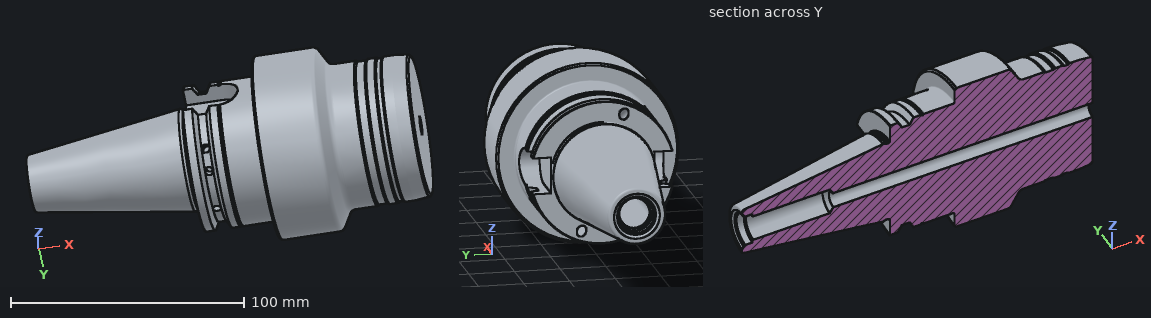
import cadquery as cq
import math


CUT_CLEARANCE = 1.7

LENGTH = 169.8
TAPER_END = 68.3
TAPER_RADIUS = 22.5
TAPER_SLOPE = 7 / 48
NOSE_RADIUS = TAPER_RADIUS - TAPER_SLOPE * TAPER_END
NOSE_FILLET = 1.2
NECK_START = 69.8
NECK_RADIUS = 21.9

FLANGE_FACE = 71.5
BODY_RADIUS = 31.6
NECK_FILLET = 0.7
FLANGE_CHAMFER = 0.2
GRIPPER_CENTER = 79.3
GRIPPER_FLOOR_WIDTH = 3.5
GRIPPER_FLOOR_RADIUS = 28.2
GRIPPER_FLANK_ANGLE = 30

COLLAR_FACE = 103.0
COLLAR_RADIUS = 80.0 / 2
COLLAR_CHAMFER = 0.8
COLLAR_ROOT_FILLET = 0.8
COLLAR_CONE_ANGLE = math.radians(60)
COLLAR_ROUND_START = 128.5
COLLAR_ROUND_RADIUS = 2.4
CONE_ROOT_RADIUS = 3.2

TAIL_START = 163.0
TAIL_RADIUS = 30.9
TAIL_CHAMFER = 0.8

RING_GROOVES = [
    (86.6, 1.2, 0.5, 0.3),
    (146.2, 5.5, 0.5, 0.8),
    (155.2, 3.2, 0.5, 0.7),
]

SLOT_WIDTH = 16.0
SLOT_END = 95.6
SLOT_FLOOR = 22.6

BORE_MOUTH_RADIUS = 10.0
BORE_MOUTH_DEPTH = 0.8
BORE_LEAD_RADIUS = 8.5
BORE_LEAD_END = 1.5
COUNTERBORE_RADIUS = 8.0
COUNTERBORE_DEPTH = 5.1
THREAD_RADIUS = 6.6
THREAD_CHAMFER = 0.3
THREAD_DEPTH = 42.5
BORE_CONE_LENGTH = 1.7
COOLANT_RADIUS = 3.9

FACE_HOLE_DIAMETER = 4.0
GROOVE_HOLE_DIAMETER = 3.5
HOLE_STEP_ANGLE = 20
FACE_HOLE_RADIUS = 27.2
FACE_HOLE_TILT = math.radians(35)
FACE_HOLE_DEPTH = 10.2
FACE_HOLE_ANGLES = (HOLE_STEP_ANGLE, 180 + HOLE_STEP_ANGLE)
PLUG_RECESS = 0.3
RADIAL_HOLE_DEPTH = 6.8
GROOVE_HOLES = [
    (HOLE_STEP_ANGLE, PLUG_RECESS),
    (180 + HOLE_STEP_ANGLE, RADIAL_HOLE_DEPTH),
    (180 - HOLE_STEP_ANGLE, RADIAL_HOLE_DEPTH),
    (180 - 2 * HOLE_STEP_ANGLE, RADIAL_HOLE_DEPTH),
]


def turn(half_profile):
    """Revolve a closed half profile, drawn as (X, radius), about the X axis."""
    return half_profile.close().revolve(360, (0, 0, 0), (1, 0, 0))


def arc_point(center, radius, angle):
    return (center[0] + radius * math.cos(angle), center[1] + radius * math.sin(angle))


def make_body():
    round_center = (COLLAR_ROUND_START, COLLAR_RADIUS - COLLAR_ROUND_RADIUS)
    middle_angle = math.pi / 2 - COLLAR_CONE_ANGLE / 2
    round_middle = arc_point(round_center, COLLAR_ROUND_RADIUS, middle_angle)
    round_end = arc_point(round_center, COLLAR_ROUND_RADIUS, math.pi / 2 - COLLAR_CONE_ANGLE)

    root_start_radius = BODY_RADIUS + CONE_ROOT_RADIUS * (1 - math.cos(COLLAR_CONE_ANGLE))
    cone_length = (round_end[1] - root_start_radius) / math.tan(COLLAR_CONE_ANGLE)
    root_start_x = round_end[0] + cone_length
    root_end_x = root_start_x + CONE_ROOT_RADIUS * math.sin(COLLAR_CONE_ANGLE)
    root_center = (root_end_x, BODY_RADIUS + CONE_ROOT_RADIUS)
    root_middle = arc_point(root_center, CONE_ROOT_RADIUS, -math.pi / 2 - COLLAR_CONE_ANGLE / 2)

    nose_edge_radius = NOSE_RADIUS + TAPER_SLOPE * NOSE_FILLET
    profile = (
        cq.Workplane("XY")
        .moveTo(0, 0)
        .lineTo(0, nose_edge_radius - NOSE_FILLET)
        .radiusArc((NOSE_FILLET, nose_edge_radius), NOSE_FILLET)
        .lineTo(TAPER_END, TAPER_RADIUS)
        .lineTo(NECK_START, NECK_RADIUS)
        .lineTo(FLANGE_FACE - NECK_FILLET, NECK_RADIUS)
        .radiusArc((FLANGE_FACE, NECK_RADIUS + NECK_FILLET), -NECK_FILLET)
        .lineTo(FLANGE_FACE, BODY_RADIUS - FLANGE_CHAMFER)
        .lineTo(FLANGE_FACE + FLANGE_CHAMFER, BODY_RADIUS)
        .lineTo(COLLAR_FACE - COLLAR_ROOT_FILLET, BODY_RADIUS)
        .radiusArc((COLLAR_FACE, BODY_RADIUS + COLLAR_ROOT_FILLET), -COLLAR_ROOT_FILLET)
        .lineTo(COLLAR_FACE, COLLAR_RADIUS - COLLAR_CHAMFER)
        .lineTo(COLLAR_FACE + COLLAR_CHAMFER, COLLAR_RADIUS)
        .lineTo(COLLAR_ROUND_START, COLLAR_RADIUS)
        .threePointArc(round_middle, round_end)
        .lineTo(root_start_x, root_start_radius)
        .threePointArc(root_middle, (root_end_x, BODY_RADIUS))
        .lineTo(TAIL_START, BODY_RADIUS)
        .lineTo(LENGTH - TAIL_CHAMFER, TAIL_RADIUS)
        .lineTo(LENGTH, TAIL_RADIUS - TAIL_CHAMFER)
        .lineTo(LENGTH, 0)
    )
    return turn(profile)


def ring_groove(start, width, floor_radius, side_length):
    """Ring with a flat floor and two sloping sides, open at the body radius."""
    end = start + width
    clearance_radius = BODY_RADIUS + CUT_CLEARANCE
    return turn(
        cq.Workplane("XY")
        .moveTo(start, clearance_radius)
        .lineTo(start, BODY_RADIUS)
        .lineTo(start + side_length, floor_radius)
        .lineTo(end - side_length, floor_radius)
        .lineTo(end, BODY_RADIUS)
        .lineTo(end, clearance_radius)
    )


def gripper_groove():
    flank_length = (BODY_RADIUS - GRIPPER_FLOOR_RADIUS) * math.tan(math.radians(GRIPPER_FLANK_ANGLE))
    width = GRIPPER_FLOOR_WIDTH + 2 * flank_length
    return ring_groove(GRIPPER_CENTER - width / 2, width, GRIPPER_FLOOR_RADIUS, flank_length)


def drive_slot(side):
    """Round-ended slot, open at the flange face, on the side (-1 or +1) of Y."""
    straight_end = SLOT_END - SLOT_WIDTH / 2
    straight_length = straight_end - FLANGE_FACE
    cut_depth = BODY_RADIUS - SLOT_FLOOR + CUT_CLEARANCE
    floor_plane = cq.Plane(origin=(0, side * SLOT_FLOOR, 0), xDir=(1, 0, 0), normal=(0, side, 0))
    straight = (
        cq.Workplane(floor_plane)
        .center(FLANGE_FACE + straight_length / 2, 0)
        .rect(straight_length, SLOT_WIDTH)
        .extrude(cut_depth)
    )
    round_end = cq.Workplane(floor_plane).center(straight_end, 0).circle(SLOT_WIDTH / 2).extrude(cut_depth)
    return straight.union(round_end)


def axial_bore():
    return turn(
        cq.Workplane("XY")
        .moveTo(0, 0)
        .lineTo(0, BORE_MOUTH_RADIUS)
        .lineTo(BORE_MOUTH_DEPTH, BORE_LEAD_RADIUS)
        .lineTo(BORE_LEAD_END, COUNTERBORE_RADIUS)
        .lineTo(COUNTERBORE_DEPTH, COUNTERBORE_RADIUS)
        .lineTo(COUNTERBORE_DEPTH, THREAD_RADIUS + THREAD_CHAMFER)
        .lineTo(COUNTERBORE_DEPTH + THREAD_CHAMFER, THREAD_RADIUS)
        .lineTo(THREAD_DEPTH, THREAD_RADIUS)
        .lineTo(THREAD_DEPTH + BORE_CONE_LENGTH, COOLANT_RADIUS)
        .lineTo(LENGTH, COOLANT_RADIUS)
        .lineTo(LENGTH, 0)
    )


def drill(start, direction, diameter, depth, lead_in):
    """Cylinder that begins lead_in before the start point and ends depth beyond it."""
    axis = cq.Vector(*direction).normalized()
    origin = cq.Vector(*start) - axis * lead_in
    return cq.Workplane(cq.Solid.makeCylinder(diameter / 2, depth + lead_in, origin, axis))


def face_hole(angle):
    """Hole in the flange face that slants inward toward the axis."""
    slant = (math.cos(FACE_HOLE_TILT), 0, -math.sin(FACE_HOLE_TILT))
    start = (FLANGE_FACE, 0, FACE_HOLE_RADIUS)
    hole = drill(start, slant, FACE_HOLE_DIAMETER, FACE_HOLE_DEPTH, CUT_CLEARANCE)
    return hole.rotate((0, 0, 0), (1, 0, 0), angle)


def groove_hole(angle, depth):
    """Radial hole in the floor of the gripper groove."""
    start = (GRIPPER_CENTER, 0, GRIPPER_FLOOR_RADIUS)
    hole = drill(start, (0, 0, -1), GROOVE_HOLE_DIAMETER, depth, CUT_CLEARANCE)
    return hole.rotate((0, 0, 0), (1, 0, 0), angle)


result = make_body().cut(gripper_groove())
for groove_start, groove_width, groove_depth, side_length in RING_GROOVES:
    result = result.cut(ring_groove(groove_start, groove_width, BODY_RADIUS - groove_depth, side_length))
for slot_side in (-1, 1):
    result = result.cut(drive_slot(slot_side))
result = result.cut(axial_bore())
for face_angle in FACE_HOLE_ANGLES:
    result = result.cut(face_hole(face_angle))
for hole_angle, hole_depth in GROOVE_HOLES:
    result = result.cut(groove_hole(hole_angle, hole_depth))